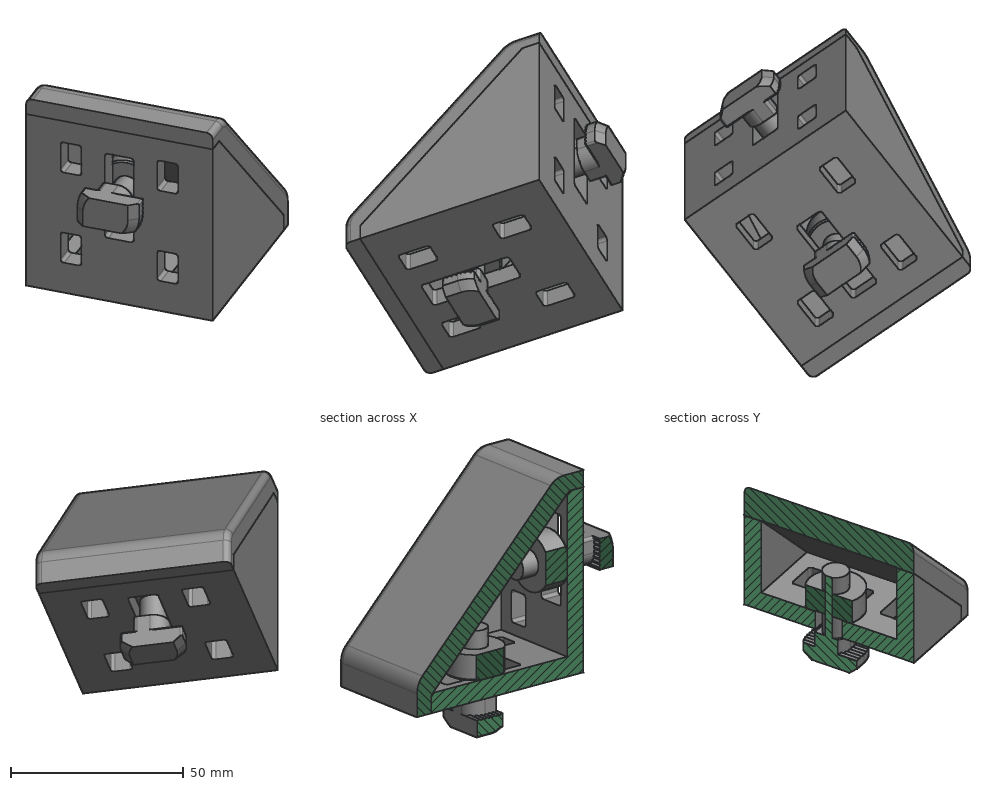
import cadquery as cq
import math


width = 58.0
leg = 57.1
leg_end = 5.3
wall = 6.3
side_wall = 6.0

slot_width = 9.0
slot_length = 28.0
bolt_distance = 35.0
window_width = 6.5
window_length = 10.0
window_pitch = 30.0
window_distance = 30.0
window_radius = 1.0

cover_reach = 62.3
cover_flat = 7.4
bend_radius = 7.0
slope_angle = 45.0
cover_edge_radius = 2.0

shank_diameter = 8.0
shank_gap = 1.0
shank_inside = 20.0
neck_height = 4.6
neck_small_radius = 1.0
head_length = 19.2
head_width = 9.7
head_height = 5.6
head_chamfer_length = 2.6
head_chamfer_height = 2.3
head_corner_radius = 0.6
tooth_pitch = 1.4
tooth_depth = 0.5
tooth_offset = 0.4

nut_diameter = 17.8
nut_height = 8.0
nut_chamfer = 0.5


def across_width(profile, profile_width):
    """Extrude a closed YZ profile symmetrically about X = 0."""
    return profile.extrude(profile_width / 2, both=True)


def make_wedge():
    outline = cq.Workplane("YZ").polyline(
        [(0, 0), (leg, 0), (leg, leg_end), (leg_end, leg), (0, leg)]
    )
    return across_width(outline.close(), width)


def make_cavity():
    """Hollow between the walls, open through the slope."""
    slope_reach = leg + leg_end - wall
    outline = cq.Workplane("YZ").polyline([(wall, wall), (slope_reach, wall), (wall, slope_reach)])
    return across_width(outline.close(), width - 2 * side_wall)


def cut_openings(body, plane, inward):
    """Cut the bolt slot and four windows through the mounting wall lying on the plane."""
    face = cq.Workplane(plane)
    slot = face.center(0, bolt_distance).rect(slot_width, slot_length).extrude(inward * wall)
    windows = (
        face.center(0, window_distance)
        .rarray(window_pitch, window_pitch, 2, 2)
        .rect(window_width, window_length)
        .extrude(inward * wall)
    )
    through = "|Y" if plane == "XZ" else "|Z"
    for cutter in (slot, windows):
        body = body.cut(cutter.edges(through).fillet(window_radius))
    return body


def make_bracket():
    body = make_wedge().cut(make_cavity())
    body = cut_openings(body, "XZ", -1)
    return cut_openings(body, "XY", 1)


def bend_point(angle):
    """Distances along and out from a mounting face, at an angle in degrees round a bend."""
    turn = math.radians(angle)
    along = cover_flat + bend_radius * math.sin(turn)
    reach = cover_reach - bend_radius * (1 - math.cos(turn))
    return along, reach


def make_cover():
    mid_along, mid_reach = bend_point(slope_angle / 2)
    end_along, end_reach = bend_point(slope_angle)
    profile = (
        cq.Workplane("YZ")
        .moveTo(cover_reach, 0)
        .lineTo(cover_reach, cover_flat)
        .threePointArc((mid_reach, mid_along), (end_reach, end_along))
        .lineTo(end_along, end_reach)
        .threePointArc((mid_along, mid_reach), (cover_flat, cover_reach))
        .lineTo(0, cover_reach)
        .lineTo(0, 0)
        .close()
    )
    block = across_width(profile, width)
    rounded = block.faces(">Y").edges("|Z").fillet(cover_edge_radius)
    return rounded.cut(make_wedge())


def make_neck():
    """Square neck with two opposite quarters round and the other two corners slightly rounded."""
    half = head_width / 2
    quarter_middle = half * math.sqrt(0.5)
    neck = (
        cq.Workplane("XZ", origin=(0, -shank_gap, 0))
        .moveTo(-half, half)
        .lineTo(0, half)
        .threePointArc((quarter_middle, quarter_middle), (half, 0))
        .lineTo(half, -half)
        .lineTo(0, -half)
        .threePointArc((-quarter_middle, -quarter_middle), (-half, 0))
        .close()
        .extrude(neck_height + tooth_depth)
    )
    return neck.edges("|Y").edges("<(1,0,-1) or >(1,0,-1)").fillet(neck_small_radius)


def make_head_blank():
    """Head with two opposite quarters rounded about the axis and chamfered ends."""
    half_length = head_length / 2
    half_width = head_width / 2
    corner = math.sqrt(half_length**2 - half_width**2)
    mid_angle = math.asin(half_width / half_length) / 2
    mid = (half_length * math.cos(mid_angle), half_length * math.sin(mid_angle))
    blank = (
        cq.Workplane("XZ", origin=(0, -shank_gap - neck_height, 0))
        .moveTo(-half_length, -half_width)
        .lineTo(-half_length, 0)
        .threePointArc((-mid[0], mid[1]), (-corner, half_width))
        .lineTo(half_length, half_width)
        .lineTo(half_length, 0)
        .threePointArc((mid[0], -mid[1]), (corner, -half_width))
        .close()
        .extrude(head_height)
    )
    ends = blank.faces("<Y").edges("not |X")
    chamfered = ends.chamfer(head_chamfer_height, head_chamfer_length)
    return chamfered.edges("|Y").edges("<(1,0,1) or >(1,0,1)").fillet(head_corner_radius)


def make_tooth_grooves():
    """V grooves along X that leave sharp teeth on the side of the head facing the wall."""
    tip = -shank_gap - neck_height
    root = tip - tooth_depth
    groove_count = math.ceil(head_width / tooth_pitch) + 1
    grooves = cq.Workplane("YZ")
    for index in range(groove_count):
        top = head_width / 2 - tooth_offset + tooth_pitch * (1 - index)
        grooves = grooves.polyline(
            [(tip, top), (root, top - tooth_pitch / 2), (tip, top - tooth_pitch)]
        ).close()
    return across_width(grooves, head_length + tooth_pitch)


def make_bolt():
    shank = (
        cq.Workplane("XZ", origin=(0, shank_inside, 0))
        .circle(shank_diameter / 2)
        .extrude(shank_inside + shank_gap)
    )
    head = make_head_blank().cut(make_tooth_grooves())
    return head.union(make_neck()).union(shank)


def make_nut():
    nut = cq.Workplane("XZ", origin=(0, wall, 0)).circle(nut_diameter / 2).extrude(-nut_height)
    nut = nut.faces("<Y").edges().chamfer(nut_chamfer)
    bore = cq.Workplane("XZ", origin=(0, wall, 0)).circle(shank_diameter / 2).extrude(-nut_height)
    return nut.cut(bore)


def placed_front_and_bottom(body):
    """One copy in the front slot and one, turned a quarter about X, in the bottom slot."""
    front = body.translate((0, 0, bolt_distance))
    bottom = body.rotate((0, 0, 0), (1, 0, 0), 90).translate((0, bolt_distance, 0))
    return [front.val(), bottom.val()]


bracket = make_bracket()
cover = make_cover()
bolts = placed_front_and_bottom(make_bolt())
nuts = placed_front_and_bottom(make_nut())

result = cq.Compound.makeCompound([bracket.val(), cover.val(), *bolts, *nuts])